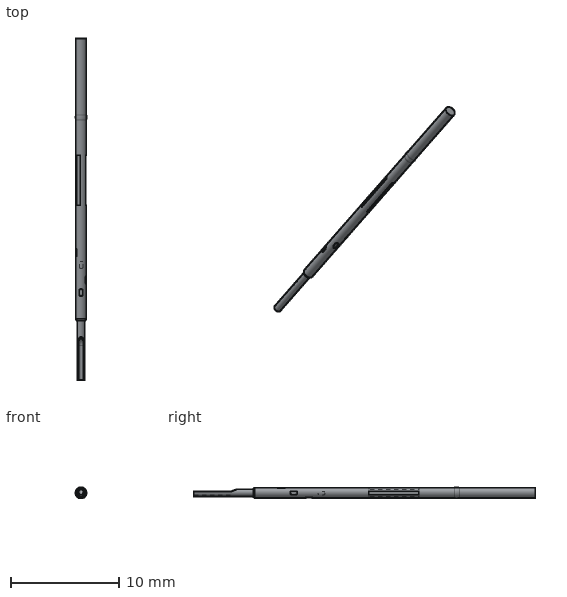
import math

import cadquery as cq

total_length = 31.6
barrel_radius = 0.98 / 2
tail_radius = 0.7 / 2

barrel_end = 26.09
nose_length = 0.15
nose_radius = 0.4
ring_start = 7.05
ring_end = 7.52
ring_radius = 1.035 / 2

flat_start = 10.8
flat_end = 15.4
flat_half_angle = 20
flat_count = 3

dimple_length = 0.68
dimple_width = 0.32
dimple_depth = 0.08
dimple_places = ((180, 19.8), (270, 20.92), (0, 22.34), (90, 23.5))

cup_channel_radius = 0.19
cup_bend_radius = 0.63
cup_bend_height = cup_bend_radius - cup_channel_radius
cup_channel_start = 28.35
cup_opening_height = 0.14
cup_slope_start = 27.6
cup_slope_end = 28.1


def make_body():
    """Revolved barrel, raised press ring, tapered nose and slim tail."""
    ring_middle = (ring_start + ring_end) / 2
    return (
        cq.Workplane("XY")
        .lineTo(barrel_radius, 0)
        .lineTo(barrel_radius, -ring_start)
        .threePointArc((ring_radius, -ring_middle), (barrel_radius, -ring_end))
        .lineTo(barrel_radius, nose_length - barrel_end)
        .lineTo(nose_radius, -barrel_end)
        .lineTo(tail_radius, -barrel_end)
        .lineTo(tail_radius, -total_length)
        .lineTo(0, -total_length)
        .close()
        .revolve(360, (0, 0, 0), (0, 1, 0))
    )


def turn_about_axis(shape, angle):
    """Turn a shape made on the +X side to the given angle, counted from +X towards +Z."""
    return shape.rotate((0, 0, 0), (0, 1, 0), -angle)


def make_flat_cutter():
    """Block that shaves a flat off the +X side of the barrel."""
    flat_distance = barrel_radius * math.cos(math.radians(flat_half_angle))
    return (
        cq.Workplane("XY")
        .box(barrel_radius, flat_end - flat_start, 2 * barrel_radius, centered=(False, True, True))
        .translate((flat_distance, -(flat_start + flat_end) / 2, 0))
    )


def make_dimple_cutter():
    """Oblong plug that sinks a dimple into the +X side, centred on Y = 0."""
    return (
        cq.Workplane("YZ")
        .workplane(offset=barrel_radius - dimple_depth)
        .slot2D(dimple_length, dimple_width)
        .extrude(barrel_radius)
    )


def make_channel_profile():
    """U-shaped section of the cup channel, reaching up past the top of the tail."""
    return (
        cq.Workplane("XZ")
        .workplane(offset=cup_channel_start)
        .moveTo(-cup_channel_radius, cup_bend_height)
        .lineTo(-cup_channel_radius, 0)
        .threePointArc((0, -cup_channel_radius), (cup_channel_radius, 0))
        .lineTo(cup_channel_radius, cup_bend_height)
        .close()
    )


def make_cup_cutter():
    """Channel from the tip that curves up and out, plus the removed upper side with its sloped end."""
    channel = make_channel_profile().extrude(total_length - cup_channel_start)
    curved_end = make_channel_profile().revolve(90, (0, cup_bend_height, 0), (1, cup_bend_height, 0))
    opening = (
        cq.Workplane("YZ")
        .moveTo(-cup_slope_start, tail_radius)
        .lineTo(-cup_slope_end, cup_opening_height)
        .lineTo(-total_length, cup_opening_height)
        .lineTo(-total_length, tail_radius)
        .close()
        .extrude(tail_radius, both=True)
    )
    return channel.union(curved_end).union(opening)


result = make_body()
for index in range(flat_count):
    result = result.cut(turn_about_axis(make_flat_cutter(), index * 360 / flat_count))
for angle, station in dimple_places:
    dimple = turn_about_axis(make_dimple_cutter(), angle).translate((0, -station, 0))
    result = result.cut(dimple)
result = result.cut(make_cup_cutter())